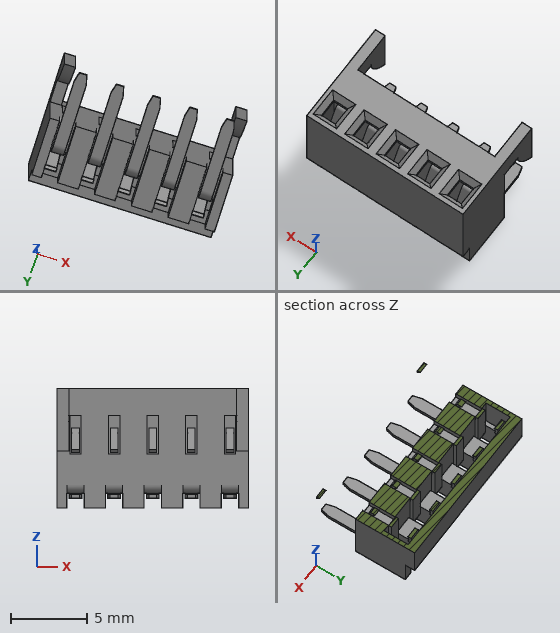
import cadquery as cq
import math

width = 12.6
depth = 4.7
height = 7.88
step_depth = 0.74
step_height = 1.79

contact_count = 5
contact_span = 10.15
pitch = contact_span / (contact_count - 1)
contact_xs = [i * pitch - contact_span / 2 for i in range(contact_count)]

ear_thickness = 0.78
ear_reach = 3.1
ear_underside = 6.1
hook_gap = 1.56
hook_straight = 0.42
hook_tip_z = 3.75
hook_middle = (-2.15, 4.61)

slot_width = 1.12
neck_back = depth - step_depth
neck_length = 1.39
funnel_depth = 0.4
funnel_flare_x = 0.38
funnel_flare_y = 0.4
neck_depth = 0.23
end_wall = 0.34
chamber_floor = step_height
chamber_top = height - funnel_depth - neck_depth

window_width = 0.74
window_bottom = 3.57
window_top = ear_underside
notch_height = 0.97
notch_round = 0.53

sheet = 0.25
contact_width = 0.85
plate_y = 2.07
plate_top = 6.3
pin_bottom = 0.64
pin_reach = 3.35
pin_tip_length = 0.65
pin_tip_width = 0.52
heel_radius = 0.38

lance_width = 0.5
lance_root_z = 5.28
lance_drop = 1.44
lance_angle = math.radians(49)

leaf_angle = math.radians(62)
fold_radius = 0.01
curl_radius = 0.5
curl_back = 3.93


def block(x_size, y_min, y_max, z_min, z_max, x_mid=0.0):
    """Box centred on x_mid in X, between the given Y and Z limits."""
    return (
        cq.Workplane("XY")
        .box(x_size, y_max - y_min, z_max - z_min, centered=(True, False, False))
        .translate((x_mid, y_min, z_min))
    )


def on_circle(centre, radius, angle):
    """Point on a circle in the YZ plane, the angle measured from +Y toward +Z."""
    return (centre[0] + radius * math.cos(angle), centre[1] + radius * math.sin(angle))


def make_ear():
    """Ear at X = 0 whose hook hangs down at its front end."""
    hook_start_z = ear_underside - hook_straight
    return (
        cq.Workplane("YZ")
        .moveTo(0, height)
        .lineTo(-ear_reach, height)
        .lineTo(-ear_reach, hook_tip_z)
        .threePointArc(hook_middle, (-hook_gap, hook_start_z))
        .lineTo(-hook_gap, ear_underside)
        .lineTo(0, ear_underside)
        .close()
        .extrude(ear_thickness / 2, both=True)
    )


def make_socket():
    """Space of the funnel and neck above the chamber."""
    neck_mid = neck_back - neck_length / 2
    funnel = (
        cq.Workplane("XY", origin=(0, neck_mid, height - funnel_depth))
        .rect(slot_width, neck_length)
        .workplane(offset=funnel_depth)
        .rect(slot_width + 2 * funnel_flare_x, neck_length + 2 * funnel_flare_y)
        .loft(ruled=True)
    )
    neck = block(slot_width, neck_back - neck_length, neck_back, chamber_top, height - funnel_depth)
    return funnel.union(neck)


def make_notch():
    """Slot through the underside: rounded at the front, open to the chamber behind the plate."""
    round_top = notch_height + notch_round
    round_middle = on_circle((notch_round, round_top), notch_round, -3 * math.pi / 4)
    return (
        cq.Workplane("YZ")
        .moveTo(0, 0)
        .lineTo(0, round_top)
        .threePointArc(round_middle, (notch_round, notch_height))
        .lineTo(plate_y, notch_height)
        .lineTo(plate_y, chamber_floor)
        .lineTo(neck_back, chamber_floor)
        .lineTo(neck_back, 0)
        .close()
        .extrude(slot_width / 2, both=True)
    )


def make_housing():
    """Housing with its ears, sockets, chamber, windows and notches."""
    housing = block(width, 0, depth, 0, height)
    housing = housing.cut(block(width, neck_back, depth, 0, step_height))
    for side in (-1, 1):
        housing = housing.union(make_ear().translate((side * (width - ear_thickness) / 2, 0, 0)))
    chamber = block(width - 2 * end_wall, plate_y, neck_back, chamber_floor, chamber_top)
    housing = housing.cut(chamber)
    for x in contact_xs:
        window = block(window_width, 0, plate_y, window_bottom, window_top, x)
        housing = housing.cut(window)
        housing = housing.cut(make_socket().translate((x, 0, 0)))
        housing = housing.cut(make_notch().translate((x, 0, 0)))
    return housing


def make_pin_and_leaf():
    """Contact strip seen along X: pin, heel, plate, fold, leaf and end curl, all one sheet thick."""
    pin_top = pin_bottom + sheet
    plate_back = plate_y + sheet
    heel = (plate_y - heel_radius, pin_top + heel_radius)
    heel_outer = heel_radius + sheet
    fold = (plate_back + fold_radius, plate_top)
    fold_outer = fold_radius + sheet
    curl_outer = curl_radius + sheet

    normal = math.pi / 2 - leaf_angle
    fold_mid = (math.pi + normal) / 2
    leaf_start = on_circle(fold, fold_outer, normal)
    curl_y = curl_back - curl_outer
    leaf_end_y = curl_y + curl_outer * math.cos(normal)
    leaf_end_z = leaf_start[1] - (leaf_end_y - leaf_start[0]) * math.tan(leaf_angle)
    curl = (curl_y, leaf_end_z - curl_outer * math.sin(normal))

    return (
        cq.Workplane("YZ")
        .moveTo(-pin_reach, pin_top)
        .lineTo(heel[0], pin_top)
        .threePointArc(on_circle(heel, heel_radius, -math.pi / 4), (plate_y, heel[1]))
        .lineTo(plate_y, plate_top)
        .threePointArc(on_circle(fold, fold_outer, fold_mid), leaf_start)
        .lineTo(leaf_end_y, leaf_end_z)
        .threePointArc(on_circle(curl, curl_outer, 0), on_circle(curl, curl_outer, -normal))
        .lineTo(*on_circle(curl, curl_radius, -normal))
        .threePointArc(on_circle(curl, curl_radius, 0), on_circle(curl, curl_radius, normal))
        .lineTo(*on_circle(fold, fold_radius, normal))
        .threePointArc(on_circle(fold, fold_radius, fold_mid), (plate_back, plate_top))
        .lineTo(plate_back, heel[1])
        .threePointArc(on_circle(heel, heel_outer, -math.pi / 4), (heel[0], pin_bottom))
        .lineTo(-pin_reach, pin_bottom)
        .close()
        .extrude(contact_width / 2, both=True)
    )


def make_pin_tip_waste():
    """Two wedges whose removal tapers the pin tip in plan."""
    right = (
        cq.Workplane("XY")
        .polyline([
            (pin_tip_width / 2, -pin_reach),
            (contact_width / 2, -pin_reach),
            (contact_width / 2, -pin_reach + pin_tip_length),
        ])
        .close()
        .extrude(pin_bottom + sheet)
    )
    return right.union(right.mirror("YZ"))


def make_lance():
    """Tongue sloping forward and down from the plate, with a square-cut end."""
    tip_y = plate_y - lance_drop * math.tan(lance_angle)
    tip_z = lance_root_z - lance_drop
    under_y = tip_y + sheet * math.cos(lance_angle)
    under_z = tip_z - sheet * math.sin(lance_angle)
    under_root_z = lance_root_z - sheet / math.sin(lance_angle)
    return (
        cq.Workplane("YZ")
        .polyline([
            (plate_y, lance_root_z),
            (tip_y, tip_z),
            (under_y, under_z),
            (plate_y, under_root_z),
        ])
        .close()
        .extrude(lance_width / 2, both=True)
    )


contact = make_pin_and_leaf().cut(make_pin_tip_waste()).union(make_lance())
result = make_housing()
for contact_x in contact_xs:
    result = result.union(contact.translate((contact_x, 0, 0)))